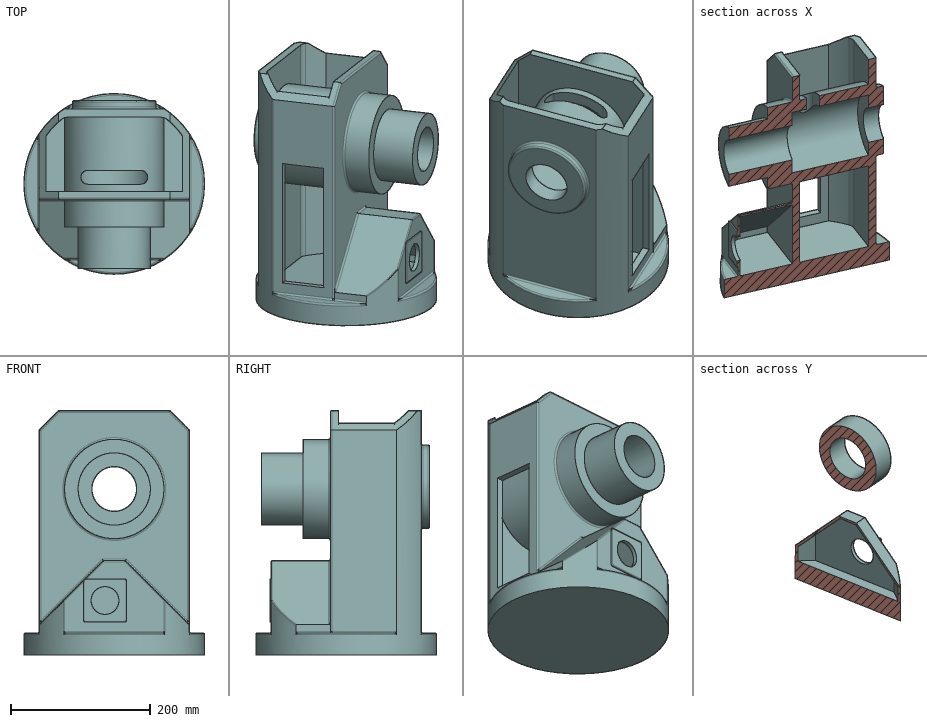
import cadquery as cq
import math

base_radius = 130
base_height = 32
body_half = 108
body_top = 352
front_wall_y = -23
wall = 12
side_wall = 10
fillet_radius = 2.5
edge_tolerance = 0.1

top_chamfer = 28
floor_z = base_height
cavity_corner_radius = 15
window_y = (-6, 57)
window_z = (49, 229)

axis_z = 239.2
hub_diameter = 143
hub_front_y = -62
spigot_diameter = 104
spigot_front_y = -122
bore_diameter = 64
chamber_diameter = 106
slot_length = 96
slot_width = 20
slot_y = 9.5

disk_diameter = 120
disk_axis_z = 242.5
disk_rear_y = 120

block_top = 136
block_top_half = 16
block_wall = 4
block_rim_radius = 1.5

pad_size = 62
pad_x = -13.3
pad_z = 78.7
pad_height = 2
pad_corner_radius = 3
pad_rim_radius = 1
port_diameter = 40


def box(x_range, y_range, z_range):
    """Axis-aligned box between the given limits."""
    size = [limits[1] - limits[0] for limits in (x_range, y_range, z_range)]
    corner = cq.Vector(x_range[0], y_range[0], z_range[0])
    return cq.Workplane(cq.Solid.makeBox(*size, corner))


def y_cylinder(diameter, y_start, y_end, center_z, center_x=0):
    """Cylinder along Y between two Y positions."""
    start = cq.Vector(center_x, y_start, center_z)
    return cq.Workplane(cq.Solid.makeCylinder(diameter / 2, y_end - y_start, start, cq.Vector(0, 1, 0)))


def round_column(radius, z_start, z_end):
    """Vertical cylinder on the base axis."""
    return cq.Workplane("XY").workplane(offset=z_start).circle(radius).extrude(z_end - z_start)


def front_prism(points, y_start, y_end):
    """Outline in X and Z, extruded along Y."""
    return cq.Workplane("XZ", origin=(0, y_end, 0)).polyline(points).close().extrude(y_end - y_start)


def make_housing():
    shoulder_z = body_top - top_chamfer
    top_half = body_half - top_chamfer
    outline = [
        (-body_half, 0),
        (body_half, 0),
        (body_half, shoulder_z),
        (top_half, body_top),
        (-top_half, body_top),
        (-body_half, shoulder_z),
    ]
    housing = front_prism(outline, front_wall_y, body_half)
    housing = housing.faces("<Y").edges("not <Z").fillet(fillet_radius)
    housing = housing.intersect(round_column(base_radius, 0, body_top))
    corners = cq.selectors.BoxSelector((-body_half, 0, 0), (body_half, 2 * body_half, body_top))
    return housing.edges("|Z").edges(corners).fillet(fillet_radius)


def make_block():
    ridge_half = 2 * body_half
    ridge_foot_z = block_top - (ridge_half - block_top_half)
    outline = [
        (ridge_half, ridge_foot_z),
        (block_top_half, block_top),
        (-block_top_half, block_top),
        (-ridge_half, ridge_foot_z),
    ]
    plate_y = front_wall_y + wall
    plate = box((-ridge_half, ridge_half), (front_wall_y, plate_y), (ridge_foot_z, body_top))
    block = plate.union(front_prism(outline, -body_half, front_wall_y))
    wall_line = cq.selectors.BoxSelector(
        (-ridge_half, front_wall_y - edge_tolerance, ridge_foot_z + edge_tolerance),
        (ridge_half, front_wall_y + edge_tolerance, block_top + edge_tolerance),
    )
    block = block.edges(wall_line).fillet(fillet_radius)
    trim = box((-body_half, body_half), (-body_half, front_wall_y), (0, body_top))
    block = block.intersect(trim.intersect(round_column(base_radius, 0, body_top)))
    rims = cq.selectors.BoxSelector(
        (-body_half - edge_tolerance, -body_half - edge_tolerance, edge_tolerance),
        (body_half + edge_tolerance, front_wall_y - 2 * fillet_radius, block_top + edge_tolerance),
    )
    return block.edges(rims).edges("not |Y").edges("not <Z").fillet(block_rim_radius)


def make_base():
    return round_column(base_radius, 0, base_height).edges(">Z").fillet(fillet_radius)


def make_housing_cavity():
    half_x = body_half - side_wall
    cavity = box((-half_x, half_x), (front_wall_y + wall, body_half - wall), (floor_z, body_top))
    cavity = cavity.intersect(round_column(base_radius - side_wall, floor_z, body_top))
    return cavity.faces(">Y").edges("|Z").fillet(cavity_corner_radius)


def make_block_cavity():
    slope_shift = block_wall * math.sqrt(2)
    roof_z = block_top - block_wall
    roof_half = block_top_half + block_wall - slope_shift
    floor_half = roof_half + roof_z - floor_z
    inner_half = body_half - block_wall
    outline = [(-floor_half, floor_z), (floor_half, floor_z), (roof_half, roof_z), (-roof_half, roof_z)]
    cavity = front_prism(outline, -inner_half, front_wall_y)
    cavity = cavity.intersect(box((-inner_half, inner_half), (-inner_half, front_wall_y), (floor_z, roof_z)))
    return cavity.intersect(round_column(base_radius - block_wall, floor_z, roof_z))


def make_foot_coves():
    """Concave fillets where the four flat sides stand on the base."""
    reach = body_half + fillet_radius
    top_z = base_height + fillet_radius
    strip = box((body_half, reach), (-body_half, body_half), (base_height, top_z))
    round_start = cq.Vector(reach, -body_half, top_z)
    rounding = cq.Solid.makeCylinder(fillet_radius, 2 * body_half, round_start, cq.Vector(0, 1, 0))
    strip = strip.cut(cq.Workplane(rounding)).intersect(round_column(base_radius, base_height, top_z))
    coves = strip
    for angle in (90, 180, 270):
        coves = coves.union(strip.rotate((0, 0, 0), (0, 0, 1), angle))
    return coves


def make_slot():
    slot = cq.Workplane("XY", origin=(0, slot_y, axis_z)).slot2D(slot_length, slot_width)
    return slot.extrude(hub_diameter / 2)


def make_pad():
    pad = cq.Workplane("XZ", origin=(pad_x, -body_half, pad_z)).rect(pad_size, pad_size).extrude(pad_height)
    return pad.edges("|Y").fillet(pad_corner_radius).faces("<Y").edges().fillet(pad_rim_radius)


def fillet_at_wall(part, wall_y, z_range):
    """Concave fillet where features between two heights meet a wall facing along Y."""
    selector = cq.selectors.BoxSelector(
        (-body_half + edge_tolerance, wall_y - edge_tolerance, z_range[0]),
        (body_half - edge_tolerance, wall_y + edge_tolerance, z_range[1]),
        boundingbox=True,
    )
    return part.edges(selector).fillet(fillet_radius)


tube_rear_y = body_half - wall
hub_reach = hub_diameter / 2 + edge_tolerance
disk_reach = disk_diameter / 2 + edge_tolerance

disk = y_cylinder(disk_diameter, body_half, disk_rear_y, disk_axis_z).faces(">Y").edges().fillet(fillet_radius)

result = make_housing().union(make_block()).union(make_base())
result = result.union(y_cylinder(hub_diameter, hub_front_y, front_wall_y, axis_z))
result = result.union(disk)
result = fillet_at_wall(result, front_wall_y, (axis_z - hub_reach, axis_z + hub_reach))
result = fillet_at_wall(result, body_half, (disk_axis_z - disk_reach, disk_axis_z + disk_reach))
result = result.union(make_foot_coves())
result = result.union(y_cylinder(spigot_diameter, spigot_front_y, hub_front_y, axis_z))
result = result.union(make_pad())

result = result.cut(make_housing_cavity()).cut(make_block_cavity())
result = result.cut(box((-body_half, side_wall - body_half), window_y, window_z))
result = result.cut(y_cylinder(port_diameter, -body_half - pad_height, block_wall - body_half, pad_z, pad_x))

result = result.union(y_cylinder(hub_diameter, front_wall_y, tube_rear_y, axis_z))
result = result.cut(y_cylinder(bore_diameter, spigot_front_y, disk_rear_y, axis_z))
result = result.cut(y_cylinder(chamber_diameter, front_wall_y, tube_rear_y, axis_z))
result = result.cut(make_slot())